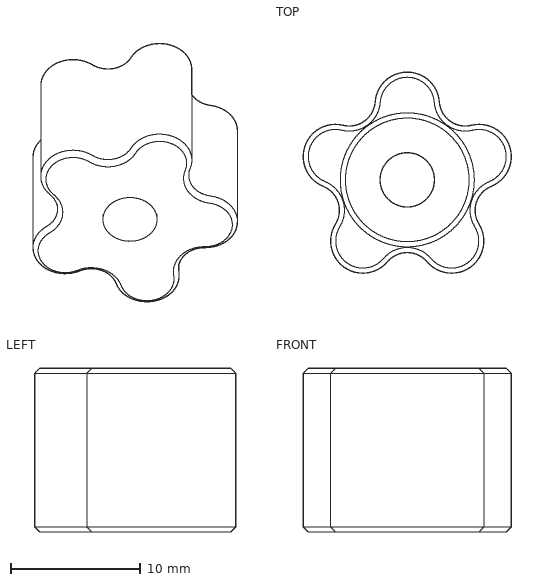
import cadquery as cq
import math

height = 12.7
lobe_count = 5
overall_width = 16.12
lobe_radius = 2.5
valley_radius = 2.0
edge_chamfer = 0.4
pocket_radius = 4.79
pocket_depth = 4.29
bore_radius = 2.1

lobe_pitch = 360 / lobe_count
half_pitch = math.radians(lobe_pitch / 2)
first_lobe_angle = 90.0
widest_lobe_tilt = math.radians(first_lobe_angle - lobe_pitch)
lobe_center_distance = (overall_width / 2 - lobe_radius) / math.cos(widest_lobe_tilt)
center_spacing = lobe_radius + valley_radius
valley_center_distance = lobe_center_distance * math.cos(half_pitch) + math.sqrt(
    center_spacing**2 - (lobe_center_distance * math.sin(half_pitch)) ** 2
)


def polar(distance, degrees):
    angle = math.radians(degrees)
    return (distance * math.cos(angle), distance * math.sin(angle))


def tangent_point(lobe_angle, valley_angle):
    """Point where a lobe arc meets a valley arc, on the line between their centers."""
    lobe_x, lobe_y = polar(lobe_center_distance, lobe_angle)
    valley_x, valley_y = polar(valley_center_distance, valley_angle)
    share = lobe_radius / center_spacing
    return (lobe_x + share * (valley_x - lobe_x), lobe_y + share * (valley_y - lobe_y))


def make_body():
    """Star-shaped prism of tangent arcs with both outer rims chamfered."""
    lobe_tip = lobe_center_distance + lobe_radius
    valley_floor = valley_center_distance - valley_radius
    outline = cq.Workplane("XY").moveTo(
        *tangent_point(first_lobe_angle, first_lobe_angle - lobe_pitch / 2)
    )
    for index in range(lobe_count):
        lobe_angle = first_lobe_angle + index * lobe_pitch
        valley_angle = lobe_angle + lobe_pitch / 2
        next_lobe_angle = lobe_angle + lobe_pitch
        outline = outline.threePointArc(
            polar(lobe_tip, lobe_angle), tangent_point(lobe_angle, valley_angle)
        )
        outline = outline.threePointArc(
            polar(valley_floor, valley_angle), tangent_point(next_lobe_angle, valley_angle)
        )
    body = outline.close().extrude(height)
    return body.faces("<Z or >Z").edges().chamfer(edge_chamfer)


def make_cavity():
    """Revolved pocket with a chamfered mouth and a narrower bore through its floor."""
    pocket_floor = height - pocket_depth
    return (
        cq.Workplane("XZ")
        .moveTo(0, 0)
        .lineTo(bore_radius, 0)
        .lineTo(bore_radius, pocket_floor)
        .lineTo(pocket_radius, pocket_floor)
        .lineTo(pocket_radius, height - edge_chamfer)
        .lineTo(pocket_radius + edge_chamfer, height)
        .lineTo(0, height)
        .close()
        .revolve(360, (0, 0, 0), (0, 1, 0))
    )


result = make_body().cut(make_cavity())